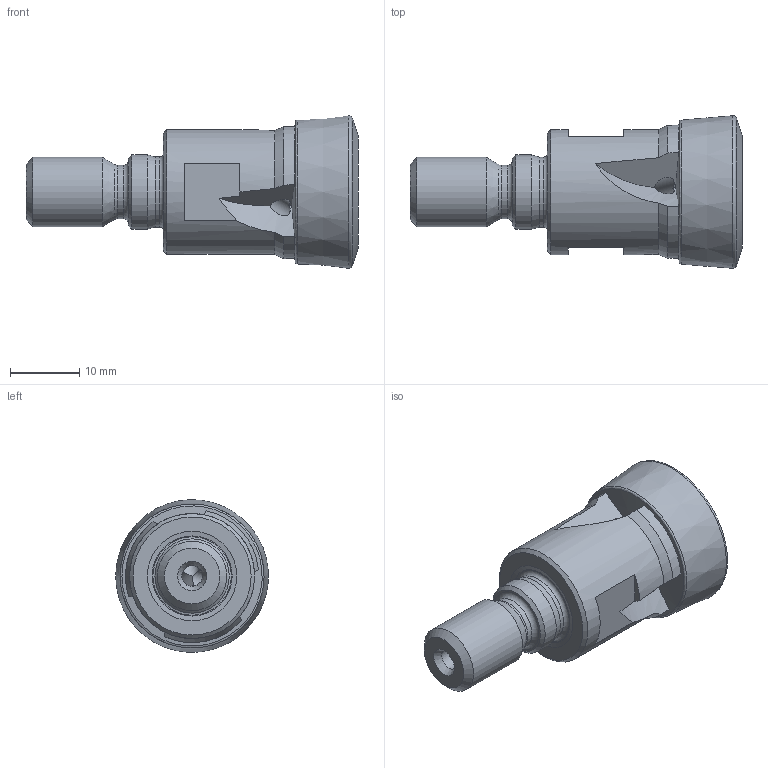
import cadquery as cq
import math

total_length = 47.82
flute_count = 3
edge_tolerance = 0.1

shank_radius = 5.0
shank_chamfer = 1.0
shank_end = 11.0
neck_radius = 3.85
neck_cone_angle = 30.0
neck_cone_blend = 0.8
neck_end = 14.75
neck_fillet = 0.72
pilot_radius = 5.35
pilot_chamfer = 0.5
pilot_end = 17.5
pilot_taper_angle = 15.0
relief_radius = 5.05
relief_fillet = 0.6
relief_depth = 0.1
relief_face_radius = 5.77
relief_face_outer_radius = 6.44

body_start = 19.76
body_radius = 9.0
body_chamfer = 0.5
collar_cone_start = 35.8
collar_start = 37.1
collar_radius = 9.6
body_end = 39.5

head_back_apex = 37.8
head_back_rim = 38.8
head_back_radius = 10.35
head_corner_radius = 11.03
head_rim = 46.9
head_back_fillet = 0.3
head_front_fillet = 0.5
head_face_radius = 8.1

flat_distance = 8.0
flat_start = 22.8
flat_length = 8.0

flute_floor_offset = 2.9
flute_floor_arc_radius = 15.0
flute_floor_low_x = 37.5
flute_floor_half_arc = 60.0
flute_wall_offset = 3.9
flute_wall_tilt = 5.2
flute_wall_angle = 30.0
flute_size = 20.0

bore_radius = 1.5
bore_mouth_radius = 2.1
bore_mouth_angle = 30.0
branch_radius = 1.25
branch_start = 33.65
branch_angle = 60.0
branch_length = 7.5
branch_turn = 2.0


def turned_body():
    """Shank, neck, pilot, body and collar as one turned shape."""
    cone_slope = math.tan(math.radians(neck_cone_angle))
    cone_foot = shank_end + (shank_radius - neck_radius) / cone_slope
    blend_tangent = neck_cone_blend * math.tan(math.radians(neck_cone_angle / 2))
    blend_start_x = cone_foot - blend_tangent * math.cos(math.radians(neck_cone_angle))
    blend_start_r = neck_radius + blend_tangent * math.sin(math.radians(neck_cone_angle))
    taper_length = (pilot_radius - relief_radius) / math.tan(math.radians(pilot_taper_angle))
    relief_end = body_start + relief_depth
    outline = (
        cq.Workplane("XY")
        .moveTo(0, 0)
        .lineTo(0, shank_radius - shank_chamfer)
        .lineTo(shank_chamfer, shank_radius)
        .lineTo(shank_end, shank_radius)
        .lineTo(blend_start_x, blend_start_r)
        .radiusArc((cone_foot + blend_tangent, neck_radius), -neck_cone_blend)
        .lineTo(neck_end - neck_fillet, neck_radius)
        .radiusArc((neck_end, neck_radius + neck_fillet), -neck_fillet)
        .lineTo(neck_end, pilot_radius - pilot_chamfer)
        .lineTo(neck_end + pilot_chamfer, pilot_radius)
        .lineTo(pilot_end, pilot_radius)
        .lineTo(pilot_end + taper_length, relief_radius)
        .lineTo(relief_end - relief_fillet, relief_radius)
        .radiusArc((relief_end, relief_radius + relief_fillet), -relief_fillet)
        .lineTo(relief_end, relief_face_radius)
        .lineTo(body_start, relief_face_outer_radius)
        .lineTo(body_start, body_radius - body_chamfer)
        .lineTo(body_start + body_chamfer, body_radius)
        .lineTo(collar_cone_start, body_radius)
        .lineTo(collar_start, collar_radius)
        .lineTo(body_end, collar_radius)
        .lineTo(body_end, 0)
        .close()
    )
    return outline.revolve(360, (0, 0, 0), (1, 0, 0))


def around_axis(shape):
    """Copies of one shape, evenly spaced about the X axis."""
    pitch = 360 / flute_count
    return [shape.rotate((0, 0, 0), (1, 0, 0), i * pitch) for i in range(flute_count)]


def flute_cutter():
    """One flute: its floor outline lies in XY with Y as depth, and is swept sideways along -Z."""
    arc_turn = math.radians(flute_floor_half_arc)
    arc_start_x = flute_floor_low_x - flute_floor_arc_radius * math.sin(arc_turn)
    arc_start_y = flute_floor_offset + flute_floor_arc_radius * (1 - math.cos(arc_turn))
    arc_finish_x = 2 * flute_floor_low_x - arc_start_x
    return (
        cq.Workplane("XY")
        .moveTo(arc_start_x, arc_start_y)
        .threePointArc((flute_floor_low_x, flute_floor_offset), (arc_finish_x, arc_start_y))
        .lineTo(arc_finish_x, flute_size)
        .lineTo(arc_start_x, flute_size)
        .close()
        .extrude(-flute_size)
        .rotate((flute_floor_low_x, 0, 0), (flute_floor_low_x, 1, 0), -flute_wall_tilt)
        .translate((0, 0, -flute_wall_offset))
        .rotate((0, 0, 0), (1, 0, 0), flute_wall_angle)
        .mirror("XZ")
    )


def wrench_flats():
    """Blocks that leave two opposite flats on the body."""
    block = cq.Workplane("XY").box(flat_length, body_radius, 2 * body_radius, centered=(False, False, True))
    block = block.translate((flat_start, flat_distance, 0))
    return block.union(block.mirror("XZ"))


def circle_edge_at(x):
    """Selector for the head's circular edge in the plane at X = x."""
    reach = 2 * head_corner_radius
    return cq.selectors.BoxSelector(
        (x - edge_tolerance, -reach, -reach),
        (x + edge_tolerance, reach, reach),
    )


def cutting_head():
    """Flared cap with a slightly conical back, a bevelled front and rounded rims."""
    head = (
        cq.Workplane("XY")
        .moveTo(head_back_apex, 0)
        .lineTo(head_back_rim, head_back_radius)
        .lineTo(head_rim, head_corner_radius)
        .lineTo(total_length, head_face_radius)
        .lineTo(total_length, 0)
        .close()
        .revolve(360, (0, 0, 0), (1, 0, 0))
    )
    head = head.edges(circle_edge_at(head_rim)).fillet(head_front_fillet)
    return head.edges(circle_edge_at(head_back_rim)).fillet(head_back_fillet)


def coolant_bore():
    """Axial bore with a countersunk mouth."""
    mouth_depth = (bore_mouth_radius - bore_radius) / math.tan(math.radians(bore_mouth_angle))
    return (
        cq.Workplane("XY")
        .lineTo(0, bore_mouth_radius)
        .lineTo(mouth_depth, bore_radius)
        .lineTo(branch_start, bore_radius)
        .lineTo(branch_start, 0)
        .close()
        .revolve(360, (0, 0, 0), (1, 0, 0))
    )


def branch_hole():
    """Sloping hole from the bore to the inner corner of one flute."""
    slope = math.radians(branch_angle)
    corner_turn = math.degrees(math.atan2(flute_wall_offset, flute_floor_offset))
    hole_turn = corner_turn - flute_wall_angle - branch_turn
    direction = cq.Vector(math.cos(slope), -math.sin(slope), 0)
    hole = cq.Solid.makeCylinder(branch_radius, branch_length, cq.Vector(branch_start, 0, 0), direction)
    return cq.Workplane(hole).rotate((0, 0, 0), (1, 0, 0), hole_turn)


result = turned_body().cut(wrench_flats())
for cutter in around_axis(flute_cutter()):
    result = result.cut(cutter)
result = result.cut(coolant_bore())
for hole in around_axis(branch_hole()):
    result = result.cut(hole)
result = result.union(cutting_head())